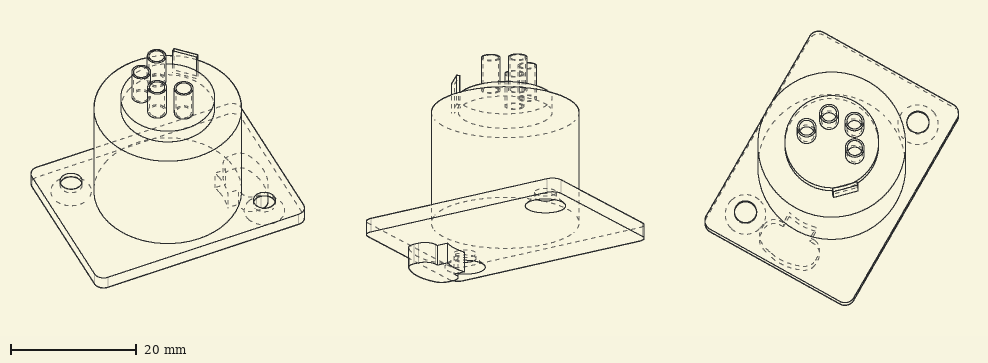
import cadquery as cq

plate_width = 27.0
plate_length = 36.7
plate_thickness = 2.3
plate_corner_radius = 1.6
screw_hole_radius = 1.75
screw_hole_x = 8.35
screw_hole_y = 13.1
countersink_radius = 3.23
countersink_angle = 90.0

housing_radius = 11.78
housing_height = 18.8
insert_radius = 7.5
insert_height = 2.45

cup_radius = 1.5
cup_bore_radius = 1.2
cup_height = 5.5
cup_centers = [(-4.22, 0), (-2.05, -3.7), (2.1, -2.83), (4.07, 0.9)]

tab_length = 4.07
tab_thickness = 0.55
tab_height = 4.9
tab_center_distance = 8.07
tab_direction = 135.0

latch_height = 3.35
latch_half_width = 5.0
latch_outer_y = 16.75
latch_inner_y = 11.3
latch_outer_face_radius = 8.8
latch_corner_radius = 2.0
latch_nose_half_width = 2.45
latch_nose_tip_y = 9.4

housing_top = plate_thickness + housing_height
insert_top = housing_top + insert_height
latch_outer_arc_center_y = latch_outer_y - latch_outer_face_radius
latch_outer_arc_rise = (latch_outer_face_radius**2 - latch_half_width**2) ** 0.5
latch_shoulder_y = latch_outer_arc_center_y + latch_outer_arc_rise
latch_nose_radius = (latch_nose_half_width**2 + latch_nose_tip_y**2) ** 0.5


def cylinder(radius, base, height):
    return cq.Workplane("XY", origin=(0, 0, base)).circle(radius).extrude(height)


def make_plate():
    plate = cq.Workplane("XY").rect(plate_width, plate_length).extrude(plate_thickness)
    plate = plate.edges("|Z").fillet(plate_corner_radius)
    hole_centers = [(screw_hole_x, screw_hole_y), (-screw_hole_x, -screw_hole_y)]
    underside = plate.faces("<Z").workplane(origin=(0, 0, 0))
    mirrored_centers = [(x, -y) for x, y in hole_centers]
    return underside.pushPoints(mirrored_centers).cskHole(
        2 * screw_hole_radius, 2 * countersink_radius, countersink_angle
    )


def make_cups():
    base = cq.Workplane("XY", origin=(0, 0, insert_top)).pushPoints(cup_centers)
    return base.circle(cup_radius).circle(cup_bore_radius).extrude(cup_height)


def make_ground_tab():
    tab = cq.Workplane("XY", origin=(0, 0, housing_top))
    tab = tab.center(tab_center_distance, 0).rect(tab_thickness, tab_length).extrude(tab_height)
    return tab.rotate((0, 0, 0), (0, 0, 1), tab_direction)


def make_latch():
    bottom = cq.Workplane("XY", origin=(0, 0, -latch_height))

    block = (
        bottom.moveTo(-latch_half_width, latch_inner_y)
        .lineTo(-latch_half_width, latch_shoulder_y)
        .threePointArc((0, latch_outer_y), (latch_half_width, latch_shoulder_y))
        .lineTo(latch_half_width, latch_inner_y)
        .close()
        .extrude(latch_height)
    )
    block = block.edges("|Z").fillet(latch_corner_radius)

    nose = (
        bottom.moveTo(-latch_nose_half_width, latch_inner_y)
        .lineTo(-latch_nose_half_width, latch_nose_tip_y)
        .threePointArc((0, latch_nose_radius), (latch_nose_half_width, latch_nose_tip_y))
        .lineTo(latch_nose_half_width, latch_inner_y)
        .close()
        .extrude(latch_height)
    )
    return block.union(nose)


result = (
    make_plate()
    .union(cylinder(housing_radius, plate_thickness, housing_height))
    .union(cylinder(insert_radius, housing_top, insert_height))
    .union(make_cups())
    .union(make_ground_tab())
    .union(make_latch())
)